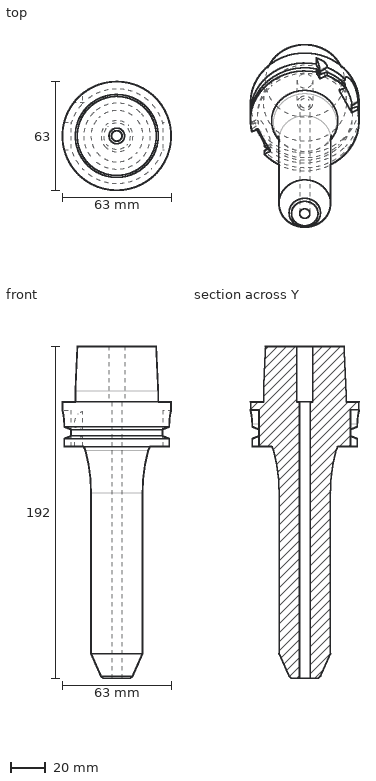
import cadquery as cq
import math

total_length = 192.0
flange_top = 160.0
taper_end = 166.5
flange_bottom = 134.0
neck_flare_bottom = 132.0
neck_bottom = 107.5
tip_cone_top = 14.4
tip_chamfer_height = 1.2

shank_top_radius = 22.8
shank_base_radius = 24.0
flange_radius = 31.5
groove_radius = 27.5
neck_flare_radius = 19.2
neck_top_radius = 18.2
shaft_radius = 15.0
tip_cone_radius = 9.12
tip_end_radius = 7.7

groove_center = 142.0
groove_width = 7.0
groove_floor_width = 3.5

slot_radius = 7.9
slot_arch_drop = 12.7
slot_floor_x = 26.5
notch_floor_x = 20.0
notch_center_y = 27.5

bore_radius = 2.98
counterbore_radius = 4.51
counterbore_depth = total_length - flange_top


def turned_body():
    """Shank, grooved flange, flared neck, shaft and conical tip."""
    neck_rise = neck_flare_bottom - neck_bottom
    neck_spread = neck_top_radius - shaft_radius
    neck_arc_radius = (neck_rise**2 + neck_spread**2) / (2 * neck_spread)
    half_angle = math.asin(neck_rise / neck_arc_radius) / 2
    neck_middle = (
        shaft_radius + neck_arc_radius * (1 - math.cos(half_angle)),
        neck_bottom + neck_arc_radius * math.sin(half_angle),
    )
    return (
        cq.Workplane("XZ")
        .moveTo(0, 0)
        .lineTo(tip_end_radius, 0)
        .lineTo(tip_cone_radius, tip_chamfer_height)
        .lineTo(shaft_radius, tip_cone_top)
        .lineTo(shaft_radius, neck_bottom)
        .threePointArc(neck_middle, (neck_top_radius, neck_flare_bottom))
        .lineTo(neck_flare_radius, flange_bottom)
        .lineTo(flange_radius, flange_bottom)
        .lineTo(flange_radius, groove_center - groove_width / 2)
        .lineTo(groove_radius, groove_center - groove_floor_width / 2)
        .lineTo(groove_radius, groove_center + groove_floor_width / 2)
        .lineTo(flange_radius, groove_center + groove_width / 2)
        .lineTo(flange_radius, flange_top)
        .lineTo(shank_base_radius, flange_top)
        .lineTo(shank_base_radius, taper_end)
        .lineTo(shank_top_radius, total_length)
        .lineTo(0, total_length)
        .close()
        .revolve(360, (0, 0, 0), (0, 1, 0))
    )


def arched_slot(floor_x, center_y):
    """Cutter running outward along +X from the slot floor."""
    arch_center = flange_top - slot_arch_drop
    return (
        cq.Workplane("YZ", origin=(floor_x, center_y, 0))
        .moveTo(-slot_radius, flange_bottom)
        .lineTo(slot_radius, flange_bottom)
        .lineTo(slot_radius, arch_center)
        .threePointArc((0, arch_center + slot_radius), (-slot_radius, arch_center))
        .close()
        .extrude(flange_radius)
    )


def stepped_bore():
    """Through bore with a wider section at the shank end."""
    bore = cq.Workplane("XY").circle(bore_radius).extrude(total_length)
    counterbore = (
        cq.Workplane("XY", origin=(0, 0, total_length))
        .circle(counterbore_radius)
        .extrude(-counterbore_depth)
    )
    return bore.union(counterbore)


drive_slot = arched_slot(slot_floor_x, 0)
index_notch = arched_slot(notch_floor_x, notch_center_y).mirror("YZ")

result = (
    turned_body()
    .cut(drive_slot)
    .cut(drive_slot.mirror("YZ"))
    .cut(index_notch)
    .cut(stepped_bore())
)